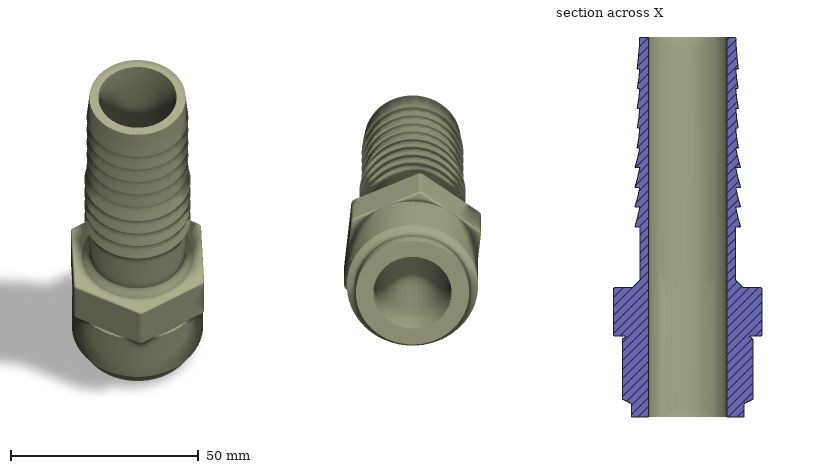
import cadquery as cq
import math

length = 101.3
bore_radius = 10.4

spigot_radius = 15.1
spigot_top = 3.5
body_radius = 17.5
body_bottom = 4.8
body_chamfer_height = 0.8
body_chamfer_width = 1.1

hex_across_flats = 34.7
hex_bottom = 21.6
hex_height = 13.0
hex_corner_radius = 1.2
hex_rim_radius = 0.5

neck_radius = 12.9
collar_height = 1.9

barbs_bottom = 50.6
barb_pitch = 5.3
barb_root_radius = neck_radius
coarse_barb_count = 4
coarse_barb_radius = 14.2
fine_barb_count = 5
fine_barb_radius = 13.6

hex_top = hex_bottom + hex_height


def revolve_profile(points):
    """Turn a closed (radius, height) outline about the Z axis."""
    return cq.Workplane("XZ").polyline(points).close().revolve(360, (0, 0), (0, 1))


def make_lower_body():
    return revolve_profile([
        (0, 0),
        (spigot_radius, 0),
        (spigot_radius, spigot_top),
        (body_radius, body_bottom),
        (body_radius, hex_bottom - body_chamfer_height),
        (body_radius - body_chamfer_width, hex_bottom),
        (0, hex_bottom),
    ])


def make_hexagon():
    across_corners = hex_across_flats / math.cos(math.radians(30))
    return (
        cq.Workplane("XY", origin=(0, 0, hex_bottom))
        .transformed(rotate=(0, 0, 30))
        .polygon(6, across_corners)
        .extrude(hex_height)
        .edges("|Z")
        .fillet(hex_corner_radius)
        .faces("<Z or >Z")
        .edges()
        .fillet(hex_rim_radius)
    )


def make_hose_tail():
    points = [
        (0, hex_top),
        (neck_radius + collar_height, hex_top),
        (neck_radius, hex_top + collar_height),
        (neck_radius, barbs_bottom),
    ]
    barb_radii = [coarse_barb_radius] * coarse_barb_count + [fine_barb_radius] * fine_barb_count
    for index, barb_radius in enumerate(barb_radii):
        barb_bottom = barbs_bottom + index * barb_pitch
        is_last = index == len(barb_radii) - 1
        barb_top = length if is_last else barb_bottom + barb_pitch
        points.append((barb_radius, barb_bottom))
        points.append((barb_root_radius, barb_top))
    points.append((0, length))
    return revolve_profile(points)


bore = cq.Workplane("XY").circle(bore_radius).extrude(length)
result = make_lower_body().union(make_hexagon()).union(make_hose_tail()).cut(bore)